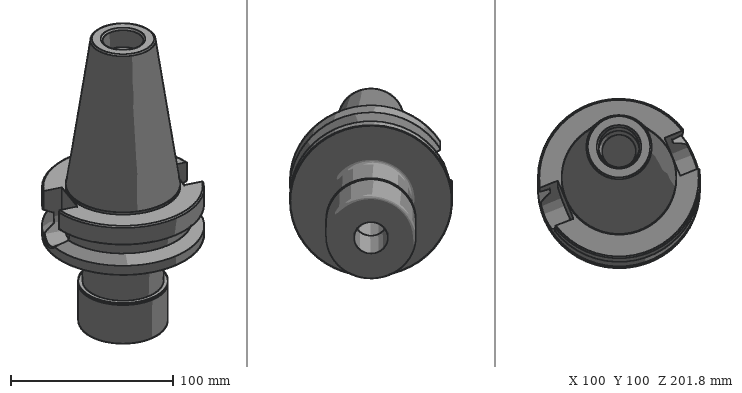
import cadquery as cq
import math

total_length = 201.8

nut_diameter = 55.5
nut_length = 30.0
nut_bottom_round = 2.5
nut_groove_diameter = 55.0
nut_groove_width = 1.2
nut_groove_top = nut_length - 0.5

bore_diameter = 20.8
socket_diameter = 25.0
socket_depth = 13.1
socket_edge_chamfer = 1.2
socket_floor_drop = (socket_diameter - bore_diameter) / 2

shank_diameter = 50.0
shank_round = 2.5

flange_diameter = 100.0
flange_bottom = 62.4
flange_top = 97.0
flange_top_chamfer = 1.0
flange_bottom_chamfer = 0.5
groove_floor_diameter = 85.4
groove_lower_edge = 69.2
groove_floor_bottom = 73.7
groove_floor_top = 80.1
groove_upper_edge = 84.2

taper_slope = 7 / 24
taper_large_diameter = 70.5
collar_diameter = 70.8
collar_height = 1.6
taper_bottom = flange_top + collar_height
taper_small_diameter = taper_large_diameter - taper_slope * (total_length - taper_bottom)
taper_end_chamfer = 1.0

slot_width = 25.6
slot_mouth_chamfer = 0.8
slot_bottom = 66.2
slot_floor_distance = 35.5


def revolve_profile(points):
    """Solid of revolution about Z from (radius, height) points."""
    return cq.Workplane("XZ").polyline(points).close().revolve(360, (0, 0), (0, 1))


def make_nut():
    bore = cq.Workplane("XY").circle(bore_diameter / 2).extrude(nut_length)
    body = cq.Workplane("XY").circle(nut_diameter / 2).extrude(nut_length)
    body = body.faces("<Z").edges().fillet(nut_bottom_round)
    groove = (
        cq.Workplane("XY", origin=(0, 0, nut_groove_top - nut_groove_width))
        .circle(nut_diameter / 2)
        .circle(nut_groove_diameter / 2)
        .extrude(nut_groove_width)
    )
    return body.cut(groove).cut(bore)


def make_outer_shape():
    """Shank, grooved flange and taper, without bore or slots."""
    shank_radius = shank_diameter / 2
    flange_radius = flange_diameter / 2
    groove_radius = groove_floor_diameter / 2
    collar_radius = collar_diameter / 2
    round_center_radius = shank_radius + shank_round
    round_center_height = flange_bottom - shank_round
    round_middle = shank_round * math.sqrt(0.5)
    profile = (
        cq.Workplane("XZ")
        .moveTo(0, nut_length)
        .lineTo(shank_radius, nut_length)
        .lineTo(shank_radius, round_center_height)
        .threePointArc(
            (round_center_radius - round_middle, round_center_height + round_middle),
            (round_center_radius, flange_bottom),
        )
        .lineTo(flange_radius - flange_bottom_chamfer, flange_bottom)
        .lineTo(flange_radius, flange_bottom + flange_bottom_chamfer)
        .lineTo(flange_radius, groove_lower_edge)
        .lineTo(groove_radius, groove_floor_bottom)
        .lineTo(groove_radius, groove_floor_top)
        .lineTo(flange_radius, groove_upper_edge)
        .lineTo(flange_radius, flange_top - flange_top_chamfer)
        .lineTo(flange_radius - flange_top_chamfer, flange_top)
        .lineTo(collar_radius, flange_top)
        .lineTo(collar_radius, taper_bottom)
        .lineTo(taper_large_diameter / 2, taper_bottom)
        .lineTo(taper_small_diameter / 2, total_length - taper_end_chamfer)
        .lineTo(taper_small_diameter / 2 - taper_end_chamfer, total_length)
        .lineTo(0, total_length)
        .close()
    )
    return profile.revolve(360, (0, 0), (0, 1))


def make_bore():
    bore_radius = bore_diameter / 2
    socket_radius = socket_diameter / 2
    socket_floor = total_length - socket_depth
    return revolve_profile([
        (0, nut_length),
        (bore_radius, nut_length),
        (bore_radius, socket_floor - socket_floor_drop),
        (socket_radius, socket_floor),
        (socket_radius, total_length - socket_edge_chamfer),
        (socket_radius + socket_edge_chamfer, total_length),
        (0, total_length),
    ])


def make_slot_cutter():
    """Cutter for the slot on the -Y side."""
    slot_radius = slot_width / 2
    round_center = slot_bottom + slot_radius
    return (
        cq.Workplane("XZ", origin=(0, -slot_floor_distance, 0))
        .moveTo(-slot_radius, flange_top)
        .lineTo(-slot_radius, round_center)
        .threePointArc((0, slot_bottom), (slot_radius, round_center))
        .lineTo(slot_radius, flange_top)
        .close()
        .extrude(flange_diameter / 2)
    )


def is_slot_mouth_edge(edge):
    """True for the slot edges on the outer cylinder of the flange."""
    tolerance = 0.002
    middle = edge.positionAt(0.5)
    on_rim = abs(math.hypot(middle.x, middle.y) - flange_diameter / 2) < tolerance
    inside_slot = abs(middle.x) < slot_width / 2 + tolerance
    on_wall = abs(abs(middle.x) - slot_width / 2) < tolerance
    on_round = slot_bottom - tolerance < middle.z < groove_lower_edge - tolerance
    return on_rim and inside_slot and (on_wall or on_round)


def make_holder():
    holder = make_outer_shape().cut(make_bore())
    for angle in (0, 180):
        holder = holder.cut(make_slot_cutter().rotate((0, 0, 0), (0, 0, 1), angle))
    mouth_edges = holder.edges().filter(is_slot_mouth_edge)
    return mouth_edges.chamfer(slot_mouth_chamfer)


nut = make_nut()
holder = make_holder()

result = cq.Compound.makeCompound([nut.val(), holder.val()])